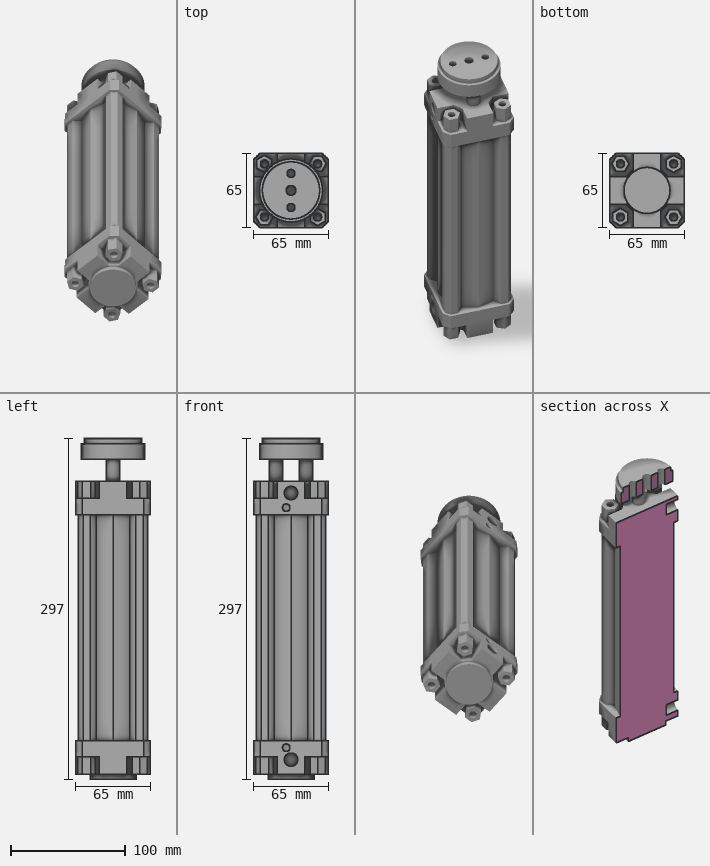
import cadquery as cq
import math

TOTAL_HEIGHT = 297.0
CAP_HEIGHT = 29.5
CAP_CUT_DEPTH = 15.0
CAP_BASE_HEIGHT = CAP_HEIGHT - CAP_CUT_DEPTH
BOSS_HEIGHT = 4.5
PLATE_RIM_HEIGHT = 13.5
PLATE_STEP_HEIGHT = 4.8
ROD_LENGTH = 19.0

PLATE_BOTTOM = TOTAL_HEIGHT - PLATE_STEP_HEIGHT - PLATE_RIM_HEIGHT
HOUSING_TOP = PLATE_BOTTOM - ROD_LENGTH
TUBE_BOTTOM = BOSS_HEIGHT + CAP_HEIGHT
TUBE_TOP = HOUSING_TOP - CAP_HEIGHT

CAP_WIDTH = 65.0
CAP_CHAMFER = 5.5
CORNER_CUT_INNER = 12.0
CORNER_CUT_CHAMFER = 6.2
BOSS_DIAMETER = 40.0

NUT_OFFSET = 23.2
NUT_ACROSS_FLATS = 13.0
NUT_ACROSS_CORNERS = NUT_ACROSS_FLATS / math.cos(math.pi / 6)
NUT_HOLE_DIAMETER = 6.8
NUT_HOLE_DEPTH = CAP_CUT_DEPTH
DRILL_POINT_ANGLE = 118.0

PORT_DIAMETER = 11.5
PORT_DEPTH = 12.0
TOP_PORT_INSET = 10.5
BOTTOM_PORT_INSET = 12.8
SCREW_DIAMETER = 6.5
SCREW_DEPTH = 2.0
SCREW_INSET = 23.2
SCREW_X = -4.2

TUBE_HALF_WIDTH = 30.3
TUBE_CORNER_START = 26.0
TUBE_FLAT_END = 20.0
GROOVE_POSITION = 14.5
GROOVE_DISTANCE = 24.7
RIDGE_DISTANCE = 28.5

PLATE_RIM_DIAMETER = 55.0
PLATE_STEP_DIAMETER = 50.0
PLATE_CENTRE_HOLE_DIAMETER = 8.3
PLATE_SIDE_HOLE_DIAMETER = 6.8
PLATE_SIDE_HOLE_OFFSET = 14.8
ROD_DIAMETER = 12.0
ROD_OFFSET = 13.0


def cylinder(diameter, height, x, y, z):
    """Upright cylinder standing on height z."""
    return cq.Workplane("XY", origin=(x, y, z)).circle(diameter / 2).extrude(height)


def make_tube():
    """Grooved tube between the caps: one side profile repeated about the axis."""
    side = [
        (-TUBE_CORNER_START, -TUBE_HALF_WIDTH),
        (-TUBE_FLAT_END, -TUBE_HALF_WIDTH),
        (-GROOVE_POSITION, -GROOVE_DISTANCE),
        (0, -RIDGE_DISTANCE),
        (GROOVE_POSITION, -GROOVE_DISTANCE),
        (TUBE_FLAT_END, -TUBE_HALF_WIDTH),
        (TUBE_CORNER_START, -TUBE_HALF_WIDTH),
    ]
    outline = []
    for _ in range(4):
        outline += side
        side = [(-y, x) for x, y in side]
    base = cq.Workplane("XY", origin=(0, 0, TUBE_BOTTOM))
    return base.polyline(outline).close().extrude(TUBE_TOP - TUBE_BOTTOM)


def make_nut(x_side, y_side):
    """Hexagonal nut in one open corner; neighbouring nuts are turned by 90 degrees."""
    x = x_side * NUT_OFFSET
    y = y_side * NUT_OFFSET
    turn = 0 if x_side == y_side else 90
    nut = cq.Workplane("XY").polygon(6, NUT_ACROSS_CORNERS).extrude(CAP_CUT_DEPTH)
    return nut.rotate((0, 0, 0), (0, 0, 1), turn).translate((x, y, CAP_BASE_HEIGHT))


def make_nut_hole(x, y):
    """Blind hole with a conical bottom, drilled from the outer end of the cap."""
    radius = NUT_HOLE_DIAMETER / 2
    point = radius / math.tan(math.radians(DRILL_POINT_ANGLE / 2))
    straight_end = CAP_HEIGHT - NUT_HOLE_DEPTH
    profile = [
        (0, CAP_HEIGHT),
        (radius, CAP_HEIGHT),
        (radius, straight_end),
        (0, straight_end - point),
    ]
    hole = cq.Workplane("XZ").polyline(profile).close().revolve(360, (0, 0, 0), (0, 1, 0))
    return hole.translate((x, y, 0))


def make_port(diameter, depth, x, inset):
    """Cutter for a flat-bottomed hole in the -Y face of a cap."""
    start = (x, -CAP_WIDTH / 2, CAP_HEIGHT - inset)
    return cq.Workplane("XZ", origin=start).circle(diameter / 2).extrude(-depth)


def make_cap(port_inset):
    """End cap standing on z = 0 with its outer end upward."""
    cap = cq.Workplane("XY").rect(CAP_WIDTH, CAP_WIDTH).extrude(CAP_HEIGHT).edges("|Z").chamfer(CAP_CHAMFER)
    cut_size = CAP_WIDTH / 2 - CORNER_CUT_INNER
    corner_cut = (
        cq.Workplane("XY", origin=(CORNER_CUT_INNER, CORNER_CUT_INNER, CAP_BASE_HEIGHT))
        .rect(cut_size, cut_size, centered=False)
        .extrude(CAP_CUT_DEPTH)
        .edges("|Z and <X and <Y")
        .chamfer(CORNER_CUT_CHAMFER)
    )
    for quarter in range(4):
        cap = cap.cut(corner_cut.rotate((0, 0, 0), (0, 0, 1), 90 * quarter))
    for x_side in (-1, 1):
        for y_side in (-1, 1):
            cap = cap.union(make_nut(x_side, y_side))
            cap = cap.cut(make_nut_hole(x_side * NUT_OFFSET, y_side * NUT_OFFSET))
    cap = cap.cut(make_port(PORT_DIAMETER, PORT_DEPTH, 0, port_inset))
    return cap.cut(make_port(SCREW_DIAMETER, SCREW_DEPTH, SCREW_X, SCREW_INSET))


def make_housing():
    """Tube closed by two caps, with a round boss under the bottom cap."""
    top_cap = make_cap(TOP_PORT_INSET).translate((0, 0, TUBE_TOP))
    bottom_cap = make_cap(BOTTOM_PORT_INSET).mirror("XY").translate((0, 0, TUBE_BOTTOM))
    boss = cylinder(BOSS_DIAMETER, BOSS_HEIGHT, 0, 0, 0)
    return make_tube().union(top_cap).union(bottom_cap).union(boss)


def make_plate():
    """Stepped round plate with three through holes, carried by two rods."""
    plate = cylinder(PLATE_RIM_DIAMETER, PLATE_RIM_HEIGHT, 0, 0, PLATE_BOTTOM)
    plate = plate.faces(">Z").workplane().circle(PLATE_STEP_DIAMETER / 2).extrude(PLATE_STEP_HEIGHT)
    plate = plate.faces(">Z").workplane().hole(PLATE_CENTRE_HOLE_DIAMETER)
    side_holes = [(0, -PLATE_SIDE_HOLE_OFFSET), (0, PLATE_SIDE_HOLE_OFFSET)]
    plate = plate.faces(">Z").workplane().pushPoints(side_holes).hole(PLATE_SIDE_HOLE_DIAMETER)
    for x in (-ROD_OFFSET, ROD_OFFSET):
        plate = plate.union(cylinder(ROD_DIAMETER, ROD_LENGTH, x, 0, HOUSING_TOP))
    return plate


housing = make_housing()
plate = make_plate()

result = cq.Compound.makeCompound([housing.val(), plate.val()])